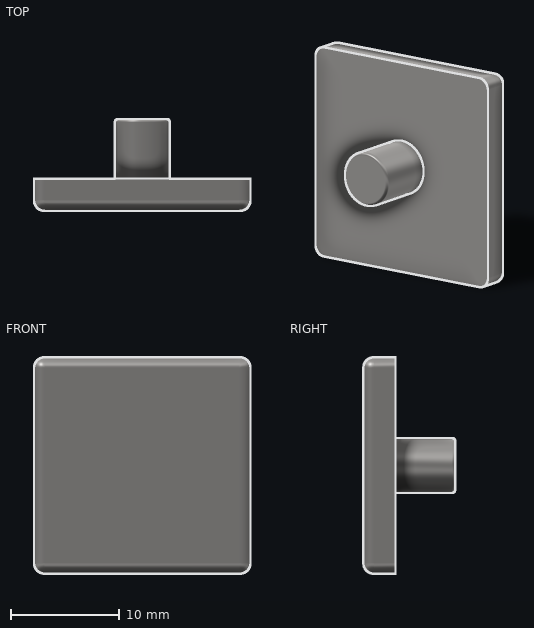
import cadquery as cq

plate_side = 20.0
plate_thickness = 3.0
edge_radius = 1.0

stud_diameter = 5.1
stud_length = 5.5
stud_tip_radius = 0.3


def make_plate():
    """Plate from Y = 0 back to its thickness, rounded at the corners and front rim."""
    plate = cq.Workplane("XZ").rect(plate_side, plate_side).extrude(-plate_thickness)
    return plate.edges("|Y").fillet(edge_radius).faces("<Y").edges().fillet(edge_radius)


def make_stud():
    """Central stud behind the plate, with a rounded tip."""
    stud = (
        cq.Workplane("XZ", origin=(0, plate_thickness, 0))
        .circle(stud_diameter / 2)
        .extrude(-stud_length)
    )
    return stud.faces(">Y").edges().fillet(stud_tip_radius)


result = make_plate().union(make_stud())